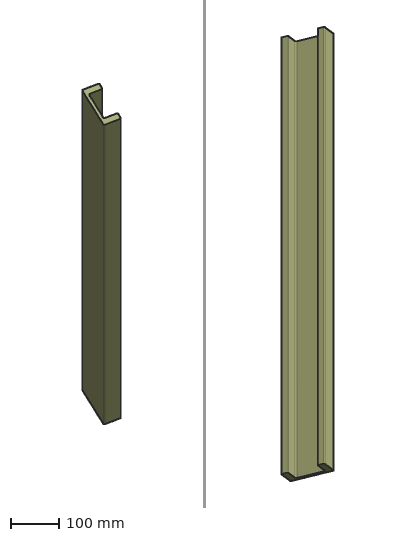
import cadquery as cq

width = 103.2
depth = 40.0
length = 1000.0

web_thickness = 8.0
flange_thickness = 16.2

outer_edge_radius = 2.0
tip_inner_radius = 2.0
root_radius = 3.0

channel_width = width - 2 * flange_thickness
channel_depth = depth - web_thickness


def make_bar():
    """Bar standing on Z = 0, centred in X, web face on Y = 0, with its four long edges rounded."""
    bar = cq.Workplane("XY").box(width, depth, length, centered=(True, False, False))
    return bar.edges("|Z").fillet(outer_edge_radius)


def make_groove():
    """Groove open toward +Y over the full length, rounded where the flanges meet the web."""
    groove = cq.Workplane("XY").box(
        channel_width, channel_depth, length, centered=(True, False, False)
    )
    groove = groove.edges("<Y and |Z").fillet(root_radius)
    return groove.translate((0, web_thickness, 0))


def round_inner_tips(channel):
    """Round the edge of each flange tip that faces the groove."""
    for side in (-1, 1):
        tip_edge_middle = (side * channel_width / 2, depth, length / 2)
        tip_edge = cq.selectors.NearestToPointSelector(tip_edge_middle)
        channel = channel.edges(tip_edge).fillet(tip_inner_radius)
    return channel


result = round_inner_tips(make_bar().cut(make_groove()))